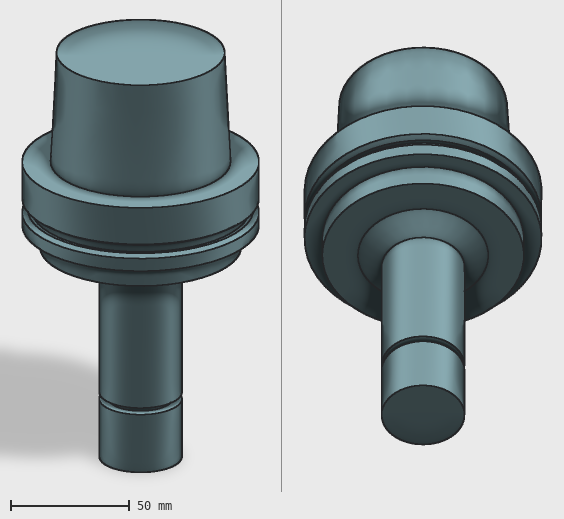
import cadquery as cq


TAPER_LENGTH = 50.0
TAPER_TOP_DIAMETER = 71.0
TAPER_BASE_DIAMETER = 76.0

FLANGE_DIAMETER = 100.0
FLANGE_LENGTH = 29.0
GRIPPER_GROOVE_DIAMETER = 92.0
GRIPPER_GROOVE_SHOULDER_DIAMETER = 95.2
GRIPPER_GROOVE_CENTER = -20.0
GRIPPER_GROOVE_MOUTH_WIDTH = 6.5
GRIPPER_GROOVE_FLOOR_WIDTH = 3.75

COLLAR_DIAMETER = 85.0
COLLAR_LENGTH = 10.0
CONE_BASE_DIAMETER = 55.0
CONE_LENGTH = 7.0

BAR_DIAMETER = 35.0
NECK_DIAMETER = 27.0
NECK_LENGTH = 3.0
HEAD_LENGTH = 26.5
PROJECTION = 135.0

FLANGE_BOTTOM = -FLANGE_LENGTH
COLLAR_BOTTOM = FLANGE_BOTTOM - COLLAR_LENGTH
CONE_BOTTOM = COLLAR_BOTTOM - CONE_LENGTH
HEAD_BOTTOM = -PROJECTION
HEAD_TOP = HEAD_BOTTOM + HEAD_LENGTH
BAR_BOTTOM = HEAD_TOP + NECK_LENGTH


def frustum(lower_diameter, upper_diameter, bottom, top):
    """Cone frustum on the Z axis between two heights."""
    profile = [
        (0, bottom),
        (lower_diameter / 2, bottom),
        (upper_diameter / 2, top),
        (0, top),
    ]
    return cq.Workplane("YZ").polyline(profile).close().revolve(360, (0, 0), (0, 1))


def cylinder(diameter, bottom, top):
    """Round bar on the Z axis between two heights."""
    return cq.Workplane("XY").workplane(offset=bottom).circle(diameter / 2).extrude(top - bottom)


def gripper_groove():
    """Ring cut out of the rim of the flange: flat walls at the floor, sloping sides at the mouth."""
    floor_half = GRIPPER_GROOVE_FLOOR_WIDTH / 2
    mouth_half = GRIPPER_GROOVE_MOUTH_WIDTH / 2
    floor_radius = GRIPPER_GROOVE_DIAMETER / 2
    shoulder_radius = GRIPPER_GROOVE_SHOULDER_DIAMETER / 2
    rim_radius = FLANGE_DIAMETER / 2
    profile = [
        (floor_radius, GRIPPER_GROOVE_CENTER - floor_half),
        (shoulder_radius, GRIPPER_GROOVE_CENTER - floor_half),
        (rim_radius, GRIPPER_GROOVE_CENTER - mouth_half),
        (rim_radius, GRIPPER_GROOVE_CENTER + mouth_half),
        (shoulder_radius, GRIPPER_GROOVE_CENTER + floor_half),
        (floor_radius, GRIPPER_GROOVE_CENTER + floor_half),
    ]
    return cq.Workplane("YZ").polyline(profile).close().revolve(360, (0, 0), (0, 1))


def make_holder():
    """Taper shank, flange, collar, cone, bar and neck as one turned solid."""
    taper = frustum(TAPER_BASE_DIAMETER, TAPER_TOP_DIAMETER, 0, TAPER_LENGTH)
    flange = cylinder(FLANGE_DIAMETER, FLANGE_BOTTOM, 0).cut(gripper_groove())
    collar = cylinder(COLLAR_DIAMETER, COLLAR_BOTTOM, FLANGE_BOTTOM)
    cone = frustum(BAR_DIAMETER, CONE_BASE_DIAMETER, CONE_BOTTOM, COLLAR_BOTTOM)
    bar = cylinder(BAR_DIAMETER, BAR_BOTTOM, CONE_BOTTOM)
    neck = cylinder(NECK_DIAMETER, HEAD_TOP, BAR_BOTTOM)
    return taper.union(flange).union(collar).union(cone).union(bar).union(neck)


def make_head():
    """Plain round head that seats against the end of the neck."""
    return cylinder(BAR_DIAMETER, HEAD_BOTTOM, HEAD_TOP)


holder = make_holder()
head = make_head()

result = cq.Compound.makeCompound([holder.val(), head.val()])